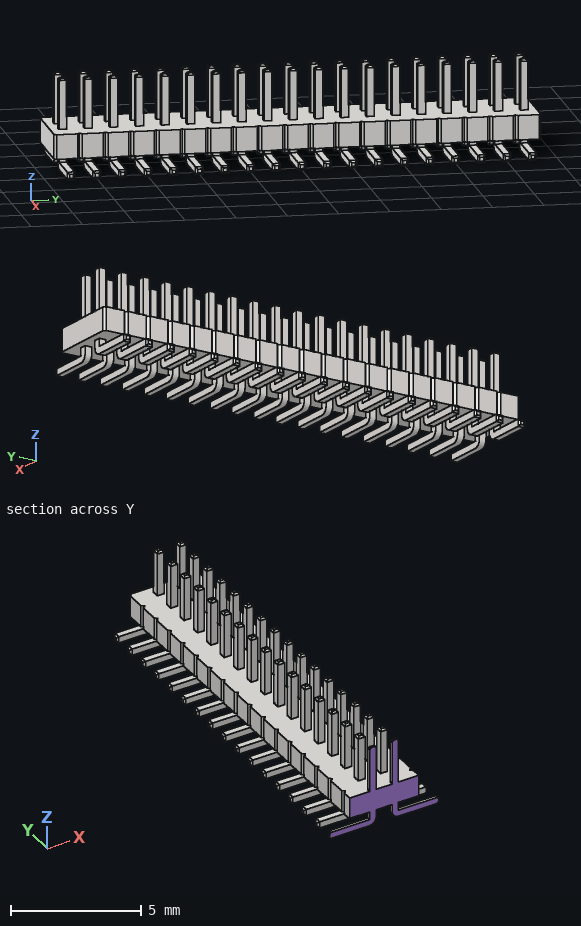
import cadquery as cq

length = 19.0
position_count = 19
pitch = length / position_count
row_spacing = pitch
overall_width = 4.9
overall_height = 3.6

body_width = 3.1
body_height = 0.97
body_bottom = 0.63
corner_depth = 0.11
corner_length = 0.1

pin_to_pitch = 0.3
pin_size = pin_to_pitch * pitch
bend_radius = pin_size
tip_length = 0.08
tip_inset = 0.08


def make_body():
    """One block per position, with chamfered upright edges that leave V notches between the blocks."""
    half_width = body_width / 2
    right_side = []
    for index in range(position_count):
        start = index * pitch - length / 2
        end = start + pitch
        right_side.append((half_width - corner_depth, start))
        right_side.append((half_width, start + corner_length))
        right_side.append((half_width, end - corner_length))
    right_side.append((half_width - corner_depth, length / 2))
    left_side = [(-x, y) for x, y in reversed(right_side)]
    outline = cq.Workplane("XY").workplane(offset=body_bottom).polyline(right_side + left_side).close()
    return outline.extrude(body_height)


def make_pin():
    """L-shaped pin of the +X row: an upright leg, a rounded bend and a foot along +X, tapered at both ends."""
    inner_x = (row_spacing - pin_size) / 2
    outer_x = inner_x + pin_size
    foot_end = overall_width / 2
    pin = (
        cq.Workplane("XZ", origin=(0, pin_size / 2, 0))
        .moveTo(inner_x, overall_height)
        .lineTo(inner_x, bend_radius)
        .radiusArc((inner_x + bend_radius, 0), -bend_radius)
        .lineTo(foot_end, 0)
        .lineTo(foot_end, pin_size)
        .lineTo(outer_x, pin_size)
        .lineTo(outer_x, overall_height)
        .close()
        .extrude(pin_size)
    )
    pin = pin.faces(">Z").chamfer(tip_length, tip_inset)
    return pin.faces(">X").chamfer(tip_length, tip_inset)


right_pin = make_pin()
left_pin = right_pin.mirror("YZ")

result = make_body()
for index in range(position_count):
    y = index * pitch - (length - pitch) / 2
    result = result.union(right_pin.translate((0, y, 0)))
    result = result.union(left_pin.translate((0, y, 0)))